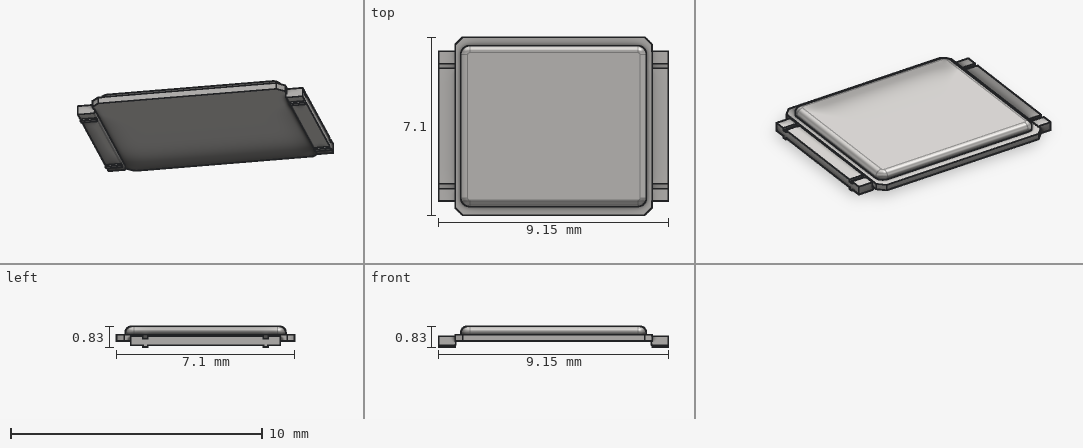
import cadquery as cq

length = 9.15
width = 7.1
height = 0.83

plate_length = 7.85
plate_bottom = 0.24
plate_top = 0.49
plate_corner_chamfer = 0.3

lid_length = 7.39
lid_width = 6.405
lid_corner_radius = 0.35
lid_edge_fillet = 0.265

lead_width = 5.97
lead_bottom = 0.07
lead_top = 0.44
lead_overlap = 0.04
lead_inner_fillet = 0.055

dimple_width = 0.19
dimple_spacing = 4.795
groove_depth = 0.1

overhang = (length - plate_length) / 2


def make_plate():
    """Flange plate with its four vertical corners chamfered."""
    plate = cq.Workplane("XY").workplane(offset=plate_bottom)
    plate = plate.rect(plate_length, width).extrude(plate_top - plate_bottom)
    return plate.edges("|Z").chamfer(plate_corner_chamfer)


def make_lid():
    """Lid with rounded corners and a rounded top edge."""
    lid = cq.Workplane("XY").workplane(offset=plate_top)
    lid = lid.rect(lid_length, lid_width).extrude(height - plate_top)
    lid = lid.edges("|Z").fillet(lid_corner_radius)
    return lid.faces(">Z").edges().fillet(lid_edge_fillet)


def end_box(size_x, size_y, size_z, bottom):
    """Box starting at the outer -X end, centred on Y, resting at height bottom."""
    box = cq.Workplane("XY").box(size_x, size_y, size_z, centered=(False, True, False))
    return box.translate((-length / 2, 0, bottom))


def make_lead():
    """Lead at the -X end with its two dimples."""
    under_plate = end_box(overhang + lead_overlap, lead_width, plate_bottom - lead_bottom, lead_bottom)
    under_plate = under_plate.edges(">X and <Z").fillet(lead_inner_fillet)
    beside_plate = end_box(overhang, lead_width, lead_top - plate_bottom, plate_bottom)
    lead = under_plate.union(beside_plate)

    groove = end_box(overhang, dimple_width, groove_depth, lead_top - groove_depth)
    foot = end_box(overhang, dimple_width, plate_bottom, 0)
    for y in (-dimple_spacing / 2, dimple_spacing / 2):
        lead = lead.cut(groove.translate((0, y, 0)))
        lead = lead.union(foot.translate((0, y, 0)))
    return lead


left_lead = make_lead()
right_lead = left_lead.mirror("YZ")

result = make_plate().union(make_lid()).union(left_lead).union(right_lead)